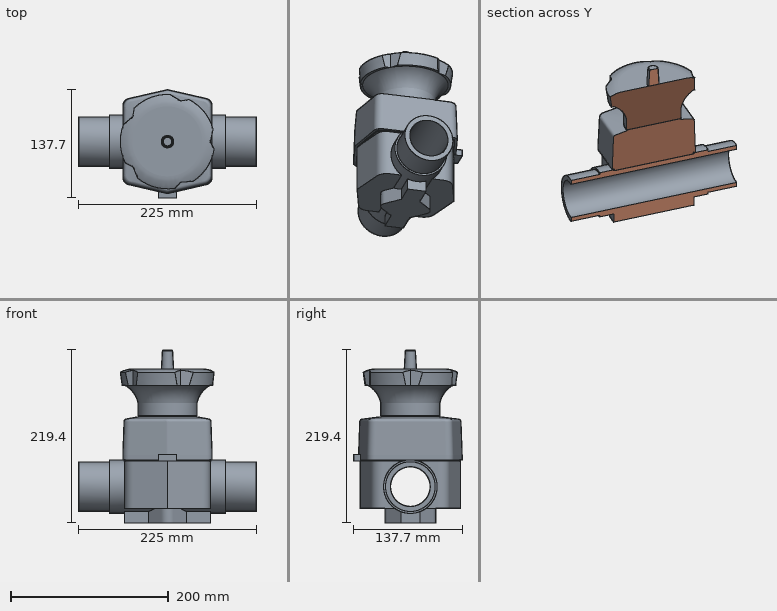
import cadquery as cq
import math


LENGTH = 225.0
BORE_R = 25.0
PIPE_R = 31.5
COLLAR_R = 34.0
COLLAR_END_X = 73.8

BODY_HALF_X = 54.7
BODY_APEX_Y = 63.7
BODY_SLOPE = 17.7
BODY_CORNER_R = 15.0
BODY_BOTTOM_Z = -27.5
BODY_TOP_Z = 32.5

FOOT_BOTTOM_Z = -46.1
FOOT_BAR_HALF_Y = 12.2
FOOT_FLARE_X = 24.3
FOOT_FLANK_ANGLE = 45
FOOT_TIP_R = 10.1

BONNET_HALF_X = 56.7
BONNET_APEX_Y = 66.0
BONNET_SLOPE = 12.9
BONNET_CORNER_R = 10.0
BONNET_APEX_R = 5.0
BONNET_DRAFT = 2.0
LIP_INSET = 3.2
RIM_BOTTOM_Z = COLLAR_R
RIM_TOP_Z = 39.8
SHOULDER_Z = 85.3
SHOULDER_FILLET_R = 3.8
ROOF_TOP_Z = 88.6
NECK_R = 37.0
TAB_WIDTH = 23.0
TAB_FRONT_Y = -71.8
TAB_TOP_Z = 40.7
SELECT_MARGIN = 0.2

WHEEL_BOTTOM_Z = 90.0
HUB_R = 37.5
HUB_TOP_Z = 106.0
FLARE_R = 54.2
FLARE_MID_R = 42.5
FLARE_MID_Z = 118.0
RIM_UNDER_R = 57.5
RIM_UNDER_Z = 128.5
RIM_EDGE_R = 59.8
RIM_EDGE_Z = 145.0
CROWN_R = 44.3
WHEEL_TOP_Z = 149.2
NOTCH_COUNT = 5
NOTCH_ROOT_R = 54.2
NOTCH_SIDES = ((57.8, 15.5), (59.2, -9.5))
NOTCH_REACH = 1.5

TOTAL_HEIGHT = 219.4
SPINDLE_TOP_Z = FOOT_BOTTOM_Z + TOTAL_HEIGHT
SPINDLE_BASE_R = 7.9
SPINDLE_TOP_R = 6.5
SPINDLE_CHAMFER = 1.1


def hexagon(half_x, apex_y, slope):
    """Corner points of a block with two flat X sides and a gable at each Y end."""
    side_y = apex_y - half_x * math.tan(math.radians(slope))
    return [
        (half_x, side_y), (0, apex_y), (-half_x, side_y),
        (-half_x, -side_y), (0, -apex_y), (half_x, -side_y),
    ]


def corner_arc(before, corner, after, radius):
    """Start, middle and end of the fillet that rounds one corner."""
    to_before = (before - corner).normalized()
    to_after = (after - corner).normalized()
    half_angle = to_before.getAngle(to_after) / 2
    setback = radius / math.tan(half_angle)
    bisector = (to_before + to_after).normalized()
    middle = corner + bisector * (radius / math.sin(half_angle) - radius)
    return corner + to_before * setback, middle, corner + to_after * setback


def bonnet_arcs(inset, z):
    """Corner arcs of the bonnet outline, moved inward by inset."""
    apex_y = BONNET_APEX_Y - inset / math.cos(math.radians(BONNET_SLOPE))
    points = [cq.Vector(x, y, z) for x, y in hexagon(BONNET_HALF_X - inset, apex_y, BONNET_SLOPE)]
    arcs = []
    for i, corner in enumerate(points):
        radius = BONNET_APEX_R if corner.x == 0 else BONNET_CORNER_R
        arcs.append(corner_arc(points[i - 1], corner, points[(i + 1) % len(points)], radius))
    return arcs


def bonnet_wire(inset, z):
    arcs = bonnet_arcs(inset, z)
    edges = []
    for i, (start, middle, end) in enumerate(arcs):
        next_start = arcs[(i + 1) % len(arcs)][0]
        edges.append(cq.Edge.makeThreePointArc(start, middle, end))
        edges.append(cq.Edge.makeLine(end, next_start))
    return cq.Wire.assembleEdges(edges)


def neck_wire(inset, z):
    """Neck circle, split in line with the ends of the bonnet's corner arcs."""
    ends = [point for start, _, end in bonnet_arcs(inset, z) for point in (start, end)]
    angles = [math.atan2(point.y, point.x) for point in ends]

    def on_circle(angle):
        return cq.Vector(NECK_R * math.cos(angle), NECK_R * math.sin(angle), z)

    edges = []
    for i, first in enumerate(angles):
        sweep = (angles[(i + 1) % len(angles)] - first) % (2 * math.pi)
        middle = on_circle(first + sweep / 2)
        edges.append(cq.Edge.makeThreePointArc(on_circle(first), middle, on_circle(first + sweep)))
    return cq.Wire.assembleEdges(edges)


def cylinder_x(radius, length):
    return cq.Workplane("YZ").circle(radius).extrude(length / 2, both=True)


def make_foot():
    """Bar along X with a rounded, slant-sided arm on each Y side."""
    tip_offset = FOOT_TIP_R * math.sin(math.radians(FOOT_FLANK_ANGLE))
    flank_rise = (FOOT_FLARE_X - tip_offset) * math.tan(math.radians(FOOT_FLANK_ANGLE))
    flare_y = FOOT_BAR_HALF_Y + flank_rise
    tip_y = flare_y + FOOT_TIP_R * (1 - math.cos(math.radians(FOOT_FLANK_ANGLE)))
    height = BODY_TOP_Z - FOOT_BOTTOM_Z
    return (
        cq.Workplane("XY", origin=(0, 0, FOOT_BOTTOM_Z))
        .moveTo(-BODY_HALF_X, -FOOT_BAR_HALF_Y)
        .lineTo(-FOOT_FLARE_X, -FOOT_BAR_HALF_Y)
        .lineTo(-tip_offset, -flare_y)
        .threePointArc((0, -tip_y), (tip_offset, -flare_y))
        .lineTo(FOOT_FLARE_X, -FOOT_BAR_HALF_Y)
        .lineTo(BODY_HALF_X, -FOOT_BAR_HALF_Y)
        .lineTo(BODY_HALF_X, FOOT_BAR_HALF_Y)
        .lineTo(FOOT_FLARE_X, FOOT_BAR_HALF_Y)
        .lineTo(tip_offset, flare_y)
        .threePointArc((0, tip_y), (-tip_offset, flare_y))
        .lineTo(-FOOT_FLARE_X, FOOT_BAR_HALF_Y)
        .lineTo(-BODY_HALF_X, FOOT_BAR_HALF_Y)
        .close()
        .extrude(height)
    )


def make_body():
    block = (
        cq.Workplane("XY", origin=(0, 0, BODY_BOTTOM_Z))
        .polyline(hexagon(BODY_HALF_X, BODY_APEX_Y, BODY_SLOPE))
        .close()
        .extrude(BODY_TOP_Z - BODY_BOTTOM_Z)
        .edges("|Z and (>X or <X)")
        .fillet(BODY_CORNER_R)
    )
    above_block = (
        cq.Workplane("XY", origin=(0, 0, BODY_TOP_Z))
        .rect(2 * BODY_HALF_X, 2 * COLLAR_R)
        .extrude(COLLAR_R - BODY_TOP_Z)
    )
    collar = cylinder_x(COLLAR_R, 2 * COLLAR_END_X).cut(above_block)
    return (
        block.union(make_foot())
        .union(collar)
        .union(cylinder_x(PIPE_R, LENGTH))
        .cut(cylinder_x(BORE_R, LENGTH))
    )


def ruled_solid(bottom, top):
    return cq.Workplane(cq.Solid.makeLoft([bottom, top], True))


def make_bonnet_shell():
    """Drafted walls and the roof that rises to the neck, rounded where they meet."""
    draft_inset = (SHOULDER_Z - RIM_TOP_Z) * math.tan(math.radians(BONNET_DRAFT))
    shoulder = bonnet_wire(draft_inset, SHOULDER_Z)
    walls = ruled_solid(bonnet_wire(0, RIM_TOP_Z), shoulder)
    roof = ruled_solid(shoulder, neck_wire(draft_inset, ROOF_TOP_Z))
    shoulder_edges = cq.selectors.BoxSelector(
        (-LENGTH, -LENGTH, SHOULDER_Z - SELECT_MARGIN),
        (LENGTH, LENGTH, SHOULDER_Z + SELECT_MARGIN),
    )
    return walls.union(roof).edges(shoulder_edges).fillet(SHOULDER_FILLET_R)


def make_bonnet():
    lip = ruled_solid(bonnet_wire(LIP_INSET, BODY_TOP_Z), bonnet_wire(LIP_INSET, RIM_BOTTOM_Z))
    rim = ruled_solid(bonnet_wire(0, RIM_BOTTOM_Z), bonnet_wire(0, RIM_TOP_Z))
    neck = (
        cq.Workplane("XY", origin=(0, 0, ROOF_TOP_Z))
        .circle(NECK_R)
        .extrude(WHEEL_BOTTOM_Z - ROOF_TOP_Z)
    )
    tab = (
        cq.Workplane("XY", origin=(0, TAB_FRONT_Y / 2, BODY_TOP_Z))
        .rect(TAB_WIDTH, -TAB_FRONT_Y)
        .extrude(TAB_TOP_Z - BODY_TOP_Z)
    )
    return make_bonnet_shell().union(rim).union(lip).union(neck).union(tab)


def notch_cutter(angle):
    flanks = [
        (NOTCH_ROOT_R + NOTCH_REACH * (x - NOTCH_ROOT_R), NOTCH_REACH * y)
        for x, y in NOTCH_SIDES
    ]
    return (
        cq.Workplane("XY", origin=(0, 0, RIM_UNDER_Z))
        .polyline([(NOTCH_ROOT_R, 0), *flanks])
        .close()
        .extrude(WHEEL_TOP_Z - RIM_UNDER_Z)
        .rotate((0, 0, 0), (0, 0, 1), angle)
    )


def make_handwheel():
    crown_drop = WHEEL_TOP_Z - RIM_EDGE_Z
    crown_width = RIM_EDGE_R - CROWN_R
    crown_arc_r = (crown_width**2 + crown_drop**2) / (2 * crown_drop)
    mid_angle = math.asin(crown_width / crown_arc_r) / 2
    crown_mid = (
        CROWN_R + crown_arc_r * math.sin(mid_angle),
        WHEEL_TOP_Z - crown_arc_r * (1 - math.cos(mid_angle)),
    )
    wheel = (
        cq.Workplane("XZ")
        .moveTo(0, WHEEL_BOTTOM_Z)
        .lineTo(HUB_R, WHEEL_BOTTOM_Z)
        .lineTo(HUB_R, HUB_TOP_Z)
        .threePointArc((FLARE_MID_R, FLARE_MID_Z), (FLARE_R, RIM_UNDER_Z))
        .lineTo(RIM_UNDER_R, RIM_UNDER_Z)
        .lineTo(RIM_EDGE_R, RIM_EDGE_Z)
        .threePointArc(crown_mid, (CROWN_R, WHEEL_TOP_Z))
        .lineTo(0, WHEEL_TOP_Z)
        .close()
        .revolve(360, (0, 0, 0), (0, 1, 0))
    )
    for i in range(NOTCH_COUNT):
        wheel = wheel.cut(notch_cutter(i * 360 / NOTCH_COUNT))
    return wheel


def make_spindle():
    height = SPINDLE_TOP_Z - WHEEL_TOP_Z
    cone = cq.Solid.makeCone(SPINDLE_BASE_R, SPINDLE_TOP_R, height, cq.Vector(0, 0, WHEEL_TOP_Z))
    return cq.Workplane(cone).faces(">Z").chamfer(SPINDLE_CHAMFER)


body = make_body()
bonnet = make_bonnet()
handwheel = make_handwheel()
spindle = make_spindle()

result = cq.Compound.makeCompound([body.val(), bonnet.val(), handwheel.val(), spindle.val()])